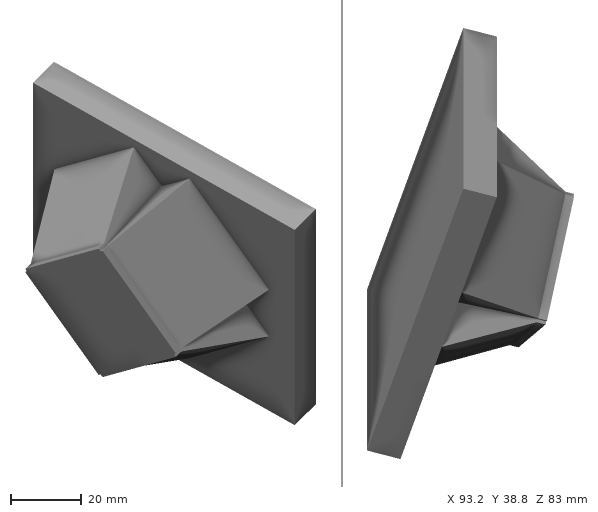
import cadquery as cq

plate_width = 93.2
plate_height = 83.0
plate_thickness = 10.0

total_depth = 38.8
tip_thickness = 2.6
taper_depth = total_depth - plate_thickness - tip_thickness
base_length = 68.0
base_width = 40.0
tip_length = 39.0
tip_width = 37.0
cross_offset_x = -0.7
cross_angles = (45, -45)


def front_plane(distance):
    """Plane parallel to the plate, facing -Y, at a distance in front of it."""
    return cq.Workplane("XZ", origin=(cross_offset_x, -distance, 0))


def tapered_block(angle):
    """Block that tapers from the plate to a short straight tip."""
    taper = (
        front_plane(0)
        .rect(base_length, base_width)
        .workplane(offset=taper_depth)
        .rect(tip_length, tip_width)
        .loft(ruled=True)
    )
    tip = front_plane(taper_depth).rect(tip_length, tip_width).extrude(tip_thickness)
    axis_start = (cross_offset_x, 0, 0)
    axis_end = (cross_offset_x, 1, 0)
    return taper.union(tip).rotate(axis_start, axis_end, angle)


result = cq.Workplane("XZ").rect(plate_width, plate_height).extrude(-plate_thickness)
for cross_angle in cross_angles:
    result = result.union(tapered_block(cross_angle))